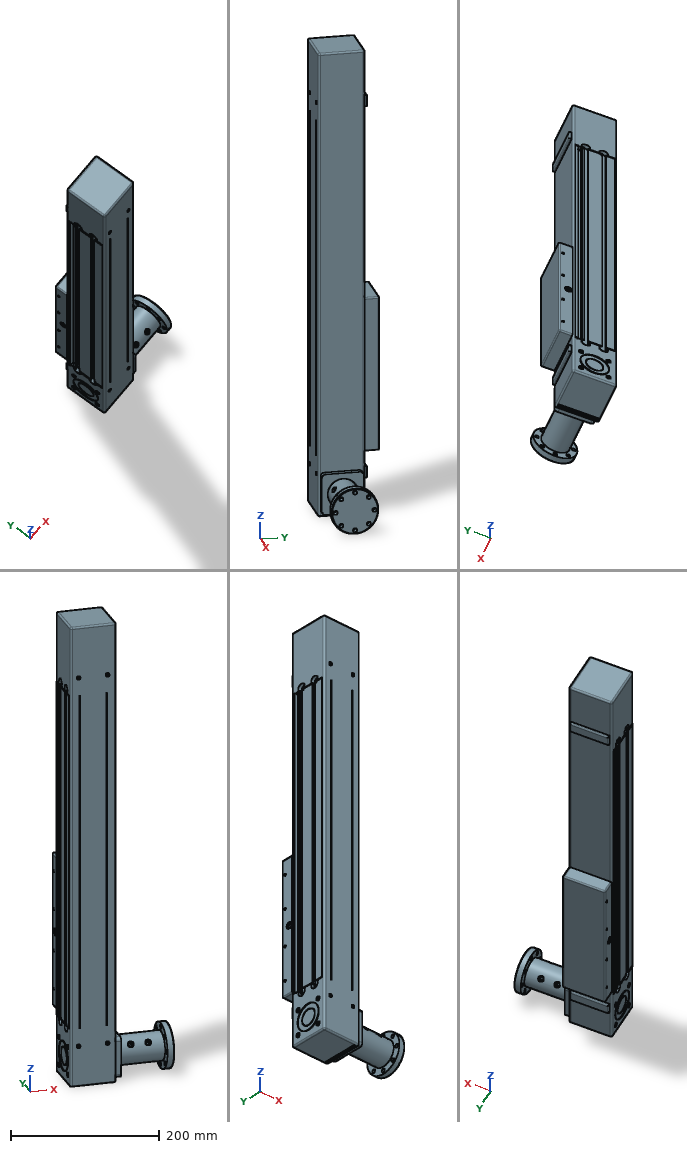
import cadquery as cq
import math


OVERALL_WIDTH = 148.5
BODY_SIDE = 65.0
HALF_SIDE = BODY_SIDE / 2
BODY_BOTTOM = 1.0
LOWER_BLOCK_LENGTH = 84.0
PROFILE_LENGTH = 480.0
UPPER_BLOCK_LENGTH = 100.0
PROFILE_BOTTOM = BODY_BOTTOM + LOWER_BLOCK_LENGTH
PROFILE_TOP = PROFILE_BOTTOM + PROFILE_LENGTH
BODY_TOP = PROFILE_TOP + UPPER_BLOCK_LENGTH
CORNER_RADIUS = 3.0
END_RADIUS = 2.5

LAND_HEIGHT = 1.0
LAND_WIDTH = 58.0
SLOT_OFFSET = 13.0
SLOT_WIDTH = 6.0
SLOT_LIP = 1.5
SLOT_CAVITY_WIDTH = 10.0
SLOT_DEPTH = 6.0
CABLE_GROOVE_OFFSET = 22.0
CABLE_GROOVE_WIDTH = 6.0
CABLE_GROOVE_DEPTH = 5.0
SLOT_MOUTH_DIAMETER = 13.0
SLOT_MOUTH_LENGTH = 10.2

JOINT_OFFSET = 19.2
JOINT_WIDTH = 1.0
JOINT_DEPTH = 1.0

BLOCK_HOLE_OFFSET = 20.5
BLOCK_HOLE_INSET = 26.0
BLOCK_HOLE_DIAMETER = 5.0
BLOCK_HOLE_DEPTH = 2.0
BLOCK_SOCKET_DIAMETER = 2.5
BLOCK_SOCKET_DEPTH = 4.0

SHAFT_Z = 35.0
SEAT_DIAMETER = 42.0
SEAT_DEPTH = 1.0
CAP_DIAMETER = 25.0
CAP_GAP_DIAMETER = 26.0
CAP_GAP_DEPTH = 2.0
SEAT_HOLE_OFFSET = 20.0
SEAT_HOLE_DIAMETER = 6.5
SEAT_HOLE_DEPTH = 2.0
SEAT_SOCKET_DIAMETER = 5.0
SEAT_SOCKET_DEPTH = 4.0

PLATE_SIDE = 58.0
PLATE_THICKNESS = 8.0
PLATE_CORNER_RADIUS = 5.0
TUBE_DIAMETER = 42.0
SHAFT_LENGTH = OVERALL_WIDTH - LAND_HEIGHT - BODY_SIDE
FLANGE_DIAMETER = 65.0
FLANGE_THICKNESS = 10.0
FLANGE_CHAMFER = 1.0
FLANGE_HOLE_COUNT = 8
FLANGE_HOLE_DIAMETER = 5.5
FLANGE_HOLE_CIRCLE = 54.0
SHAFT_SCREW_HOLE_DIAMETER = 8.0
SHAFT_SCREW_HOLE_DEPTH = 3.0
SHAFT_SCREW_SOCKET_DIAMETER = 4.92
SHAFT_SCREW_SOCKET_DEPTH = 6.0
SHAFT_SCREW_HOLE_ANGLE = 38.0
SHAFT_SCREW_HOLE_DISTANCES = (25.5, 50.0)

CARRIAGE_WIDTH = 64.0
CARRIAGE_HEIGHT = 20.0
CARRIAGE_LENGTH = 220.0
CARRIAGE_Z = 200.0
CARRIAGE_EDGE_RADIUS = 2.0
LUBE_HOLE_DIAMETER = 10.0
LUBE_HOLE_HEIGHT = 6.0
LUBE_HOLE_DEPTH = 2.0
LUBE_BORE_DIAMETER = 6.0
LUBE_BORE_DEPTH = 6.0
PIN_HOLE_DIAMETER = 3.0
PIN_HOLE_HEIGHT = 14.0
PIN_HOLE_DEPTH = 5.0
PIN_HOLE_OFFSETS = (-85.0, -30.0, 30.0, 85.0)
BELT_CLAMP_WIDTH = 58.0
BELT_CLAMP_HEIGHT = 4.0
BELT_CLAMP_LENGTH = 16.0
BELT_CLAMP_EDGE_RADIUS = 1.5

RIB_THICKNESS = 3.0
RIB_WIDTH = 58.0
RIB_X = 25.5


def box(x0, x1, y0, y1, z0, z1):
    """Box between two opposite corners."""
    return cq.Workplane("XY").box(x1 - x0, y1 - y0, z1 - z0, centered=False).translate((x0, y0, z0))


def rod(diameter, length, start, direction):
    """Cylinder from a start point along a direction."""
    cylinder = cq.Solid.makeCylinder(diameter / 2, length, cq.Vector(*start), cq.Vector(*direction))
    return cq.Workplane(cylinder)


def stepped_hole(start, direction, diameter, depth, inner_diameter, inner_depth):
    """Flat hole with a narrower, deeper one at its centre; both depths count from the start."""
    return rod(diameter, depth, start, direction).union(rod(inner_diameter, inner_depth, start, direction))


def make_body():
    body = box(-HALF_SIDE, HALF_SIDE, -HALF_SIDE, HALF_SIDE, BODY_BOTTOM, BODY_TOP)
    body = body.edges("|Z").fillet(CORNER_RADIUS)
    return body.faces("<Z or >Z").edges().fillet(END_RADIUS)


def add_profile_land(body):
    land = box(-HALF_SIDE - LAND_HEIGHT, 0, -LAND_WIDTH / 2, LAND_WIDTH / 2, PROFILE_BOTTOM, PROFILE_TOP)
    return body.union(land)


def profile_slot(y, width, start_depth, end_depth):
    """Straight cutter along the whole profile, between two depths below its -X face."""
    x0 = -HALF_SIDE + start_depth
    x1 = -HALF_SIDE + end_depth
    return box(x0, x1, y - width / 2, y + width / 2, PROFILE_BOTTOM, PROFILE_TOP)


def cut_t_slot(body, y):
    body = body.cut(profile_slot(y, SLOT_WIDTH, -LAND_HEIGHT, SLOT_DEPTH))
    return body.cut(profile_slot(y, SLOT_CAVITY_WIDTH, SLOT_LIP, SLOT_DEPTH))


def cut_cable_groove(body):
    return body.cut(profile_slot(CABLE_GROOVE_OFFSET, CABLE_GROOVE_WIDTH, -LAND_HEIGHT, CABLE_GROOVE_DEPTH))


def cut_slot_mouth(body, y, profile_end, outward):
    """Round-ended pocket that opens a slot into an end block."""
    radius = SLOT_MOUTH_DIAMETER / 2
    centre_z = profile_end + outward * (SLOT_MOUTH_LENGTH - radius)
    z0, z1 = sorted((profile_end, centre_z))
    pocket = rod(SLOT_MOUTH_DIAMETER, SLOT_DEPTH, (-HALF_SIDE, y, centre_z), (1, 0, 0))
    pocket = pocket.union(box(-HALF_SIDE, -HALF_SIDE + SLOT_DEPTH, y - radius, y + radius, z0, z1))
    return body.cut(pocket)


def cut_joint_groove(body, x):
    groove = box(
        x - JOINT_WIDTH / 2,
        x + JOINT_WIDTH / 2,
        -HALF_SIDE,
        -HALF_SIDE + JOINT_DEPTH,
        PROFILE_BOTTOM,
        PROFILE_TOP,
    )
    return body.cut(groove)


def cut_block_holes(body):
    for z in (PROFILE_BOTTOM - BLOCK_HOLE_INSET, PROFILE_TOP + BLOCK_HOLE_INSET):
        for x in (-BLOCK_HOLE_OFFSET, BLOCK_HOLE_OFFSET):
            hole = stepped_hole(
                (x, -HALF_SIDE, z),
                (0, 1, 0),
                BLOCK_HOLE_DIAMETER,
                BLOCK_HOLE_DEPTH,
                BLOCK_SOCKET_DIAMETER,
                BLOCK_SOCKET_DEPTH,
            )
            body = body.cut(hole)
    return body


def cut_bearing_seat(body):
    body = body.cut(rod(SEAT_DIAMETER, SEAT_DEPTH, (-HALF_SIDE, 0, SHAFT_Z), (1, 0, 0)))
    seat_floor = (-HALF_SIDE + SEAT_DEPTH, 0, SHAFT_Z)
    cap_gap = rod(CAP_GAP_DIAMETER, CAP_GAP_DEPTH, seat_floor, (1, 0, 0))
    body = body.cut(cap_gap.cut(rod(CAP_DIAMETER, CAP_GAP_DEPTH, seat_floor, (1, 0, 0))))
    for y in (-SEAT_HOLE_OFFSET, SEAT_HOLE_OFFSET):
        for z in (SHAFT_Z - SEAT_HOLE_OFFSET, SHAFT_Z + SEAT_HOLE_OFFSET):
            hole = stepped_hole(
                (-HALF_SIDE, y, z),
                (1, 0, 0),
                SEAT_HOLE_DIAMETER,
                SEAT_HOLE_DEPTH,
                SEAT_SOCKET_DIAMETER,
                SEAT_SOCKET_DEPTH,
            )
            body = body.cut(hole)
    return body


def make_plate():
    half_plate = PLATE_SIDE / 2
    plate = box(
        HALF_SIDE,
        HALF_SIDE + PLATE_THICKNESS,
        -half_plate,
        half_plate,
        SHAFT_Z - half_plate,
        SHAFT_Z + half_plate,
    )
    return plate.edges("|X").fillet(PLATE_CORNER_RADIUS)


def make_flange():
    start_x = HALF_SIDE + SHAFT_LENGTH - FLANGE_THICKNESS
    flange = rod(FLANGE_DIAMETER, FLANGE_THICKNESS, (start_x, 0, SHAFT_Z), (1, 0, 0))
    flange = flange.faces(">X").chamfer(FLANGE_CHAMFER)
    circle_radius = FLANGE_HOLE_CIRCLE / 2
    for index in range(FLANGE_HOLE_COUNT):
        angle = 2 * math.pi * index / FLANGE_HOLE_COUNT
        start = (start_x, circle_radius * math.cos(angle), SHAFT_Z + circle_radius * math.sin(angle))
        flange = flange.cut(rod(FLANGE_HOLE_DIAMETER, FLANGE_THICKNESS, start, (1, 0, 0)))
    return flange


def cut_shaft_screw_holes(shaft):
    """Radial screw holes in the upper half of the tube, on both sides."""
    angle = math.radians(SHAFT_SCREW_HOLE_ANGLE)
    radius = TUBE_DIAMETER / 2
    outward_z = math.sin(angle)
    for distance in SHAFT_SCREW_HOLE_DISTANCES:
        for side in (-1, 1):
            outward_y = side * math.cos(angle)
            hole = stepped_hole(
                (HALF_SIDE + distance, radius * outward_y, SHAFT_Z + radius * outward_z),
                (0, -outward_y, -outward_z),
                SHAFT_SCREW_HOLE_DIAMETER,
                SHAFT_SCREW_HOLE_DEPTH,
                SHAFT_SCREW_SOCKET_DIAMETER,
                SHAFT_SCREW_SOCKET_DEPTH,
            )
            shaft = shaft.cut(hole)
    return shaft


def make_shaft():
    tube = rod(TUBE_DIAMETER, SHAFT_LENGTH, (HALF_SIDE, 0, SHAFT_Z), (1, 0, 0))
    return cut_shaft_screw_holes(make_plate().union(tube).union(make_flange()))


def make_carriage():
    half_width = CARRIAGE_WIDTH / 2
    half_length = CARRIAGE_LENGTH / 2
    top = HALF_SIDE + CARRIAGE_HEIGHT
    carriage = box(-half_width, half_width, HALF_SIDE, top, CARRIAGE_Z - half_length, CARRIAGE_Z + half_length)
    carriage = carriage.edges("|Y").fillet(CARRIAGE_EDGE_RADIUS)
    carriage = carriage.faces(">Y").edges().fillet(CARRIAGE_EDGE_RADIUS)
    lube_start = (-half_width, HALF_SIDE + LUBE_HOLE_HEIGHT, CARRIAGE_Z)
    lube_hole = stepped_hole(
        lube_start, (1, 0, 0), LUBE_HOLE_DIAMETER, LUBE_HOLE_DEPTH, LUBE_BORE_DIAMETER, LUBE_BORE_DEPTH
    )
    carriage = carriage.cut(lube_hole)
    for offset in PIN_HOLE_OFFSETS:
        pin_start = (-half_width, HALF_SIDE + PIN_HOLE_HEIGHT, CARRIAGE_Z + offset)
        carriage = carriage.cut(rod(PIN_HOLE_DIAMETER, PIN_HOLE_DEPTH, pin_start, (1, 0, 0)))
    return carriage


def make_belt_clamp(z):
    half_width = BELT_CLAMP_WIDTH / 2
    half_length = BELT_CLAMP_LENGTH / 2
    top = HALF_SIDE + BELT_CLAMP_HEIGHT
    clamp = box(-half_width, half_width, HALF_SIDE, top, z - half_length, z + half_length)
    return clamp.faces(">Y").edges().fillet(BELT_CLAMP_EDGE_RADIUS)


def make_bottom_rib():
    half_width = RIB_WIDTH / 2
    return box(RIB_X, RIB_X + RIB_THICKNESS, -half_width, half_width, 0, BODY_BOTTOM + END_RADIUS)


result = add_profile_land(make_body())
for slot_y in (-SLOT_OFFSET, SLOT_OFFSET):
    result = cut_t_slot(result, slot_y)
    result = cut_slot_mouth(result, slot_y, PROFILE_TOP, 1)
    result = cut_slot_mouth(result, slot_y, PROFILE_BOTTOM, -1)
result = cut_cable_groove(result)
for joint_x in (-JOINT_OFFSET, JOINT_OFFSET):
    result = cut_joint_groove(result, joint_x)
result = cut_bearing_seat(cut_block_holes(result))
result = result.union(make_shaft()).union(make_carriage()).union(make_bottom_rib())
for clamp_z in (PROFILE_BOTTOM - BLOCK_HOLE_INSET, PROFILE_TOP + BLOCK_HOLE_INSET):
    result = result.union(make_belt_clamp(clamp_z))